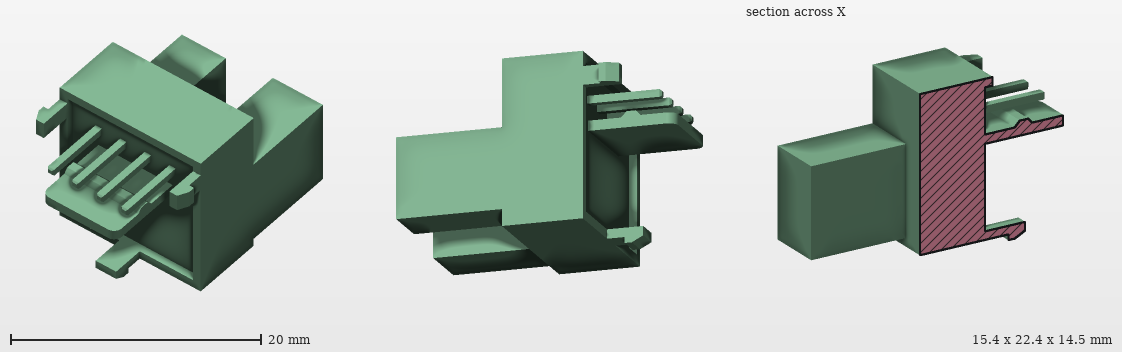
import cadquery as cq

body_width = 14.38
body_depth = 6.83
body_height = 13.98
wall = 0.78
recess_depth = 0.7

left_arm_width = 4.48
right_arm_width = 5.1
arm_length = 8.92
right_arm_bottom = 0.76
right_arm_height = 8.13
left_arm_inset = 0.65

clip_length = 3.05
hook_start = 1.48
hook_flat_end = 2.08
hook_overhang = 0.5
side_clip_bottom = 11.13
side_clip_height = 1.57
bottom_clip_width = 2.08
bottom_clip_offset = -0.07

pin_count = 4
pin_pitch = 2.5
pin_size = 0.65
pin_length = 5.58
pin_center_z = 10.82
pin_tip_chamfer = 0.13

tongue_width = 7.57
tongue_length = 6.65
tongue_bottom = 8.3
tongue_rear_top = 9.16
tongue_front_top = 9.23
tongue_corner_radius = 0.78
ridge_top = 9.65
ridge_rear_foot = 2.05
ridge_rear_crest = 2.55
ridge_front_crest = 3.34
ridge_front_foot = 3.72


def box(x_min, y_min, z_min, width, depth, height):
    """Box placed by its lowest corner."""
    return cq.Workplane("XY").box(width, depth, height, centered=False).translate((x_min, y_min, z_min))


def make_housing():
    """Block with a shallow rectangular recess in its front."""
    block = box(-body_width / 2, 0, 0, body_width, body_depth, body_height)
    recess = box(-body_width / 2 + wall, 0, wall, body_width - 2 * wall, recess_depth, body_height - 2 * wall)
    return block.cut(recess)


def make_arms():
    """Two straight arms reaching rearward across an open gap; the left one is narrower and shorter in Z."""
    left_bottom = right_arm_bottom + left_arm_inset
    left_height = right_arm_height - 2 * left_arm_inset
    left = box(-body_width / 2, body_depth, left_bottom, left_arm_width, arm_length, left_height)
    right_x = body_width / 2 - right_arm_width
    right = box(right_x, body_depth, right_arm_bottom, right_arm_width, arm_length, right_arm_height)
    return left.union(right)


def make_clip(width):
    """Clip in the XY plane with its outer face on X = 0, its hook toward -X and its width along Z."""
    profile = [
        (0, recess_depth),
        (0, -hook_start),
        (-hook_overhang, -hook_start),
        (-hook_overhang, -hook_flat_end),
        (0, -clip_length),
        (wall, -clip_length),
        (wall, recess_depth),
    ]
    return cq.Workplane("XY").polyline(profile).close().extrude(width)


def make_clips():
    """One clip on each side wall and one on the bottom wall."""
    left = make_clip(side_clip_height).translate((-body_width / 2, 0, side_clip_bottom))
    bottom = make_clip(bottom_clip_width).rotate((0, 0, 0), (0, 1, 0), -90)
    bottom = bottom.translate((bottom_clip_offset + bottom_clip_width / 2, 0, 0))
    return left.union(left.mirror("YZ")).union(bottom)


def make_pin(center_x):
    """Square pin rooted in the recess floor, chamfered at its tip."""
    pin = box(
        center_x - pin_size / 2, -pin_length, pin_center_z - pin_size / 2,
        pin_size, pin_length + recess_depth, pin_size,
    )
    return pin.faces("<Y").chamfer(pin_tip_chamfer)


def make_tongue():
    """Flat tongue rooted in the recess floor, with a ridge and rounded front corners."""
    side_profile = [
        (recess_depth, tongue_bottom),
        (recess_depth, tongue_rear_top),
        (-ridge_rear_foot, tongue_rear_top),
        (-ridge_rear_crest, ridge_top),
        (-ridge_front_crest, ridge_top),
        (-ridge_front_foot, tongue_front_top),
        (-tongue_length, tongue_front_top),
        (-tongue_length, tongue_bottom),
    ]
    tongue = cq.Workplane("YZ").polyline(side_profile).close().extrude(tongue_width / 2, both=True)
    return tongue.faces("<Y").edges("|Z").fillet(tongue_corner_radius)


result = make_housing().union(make_arms()).union(make_clips()).union(make_tongue())
for index in range(pin_count):
    pin_x = (index - (pin_count - 1) / 2) * pin_pitch
    result = result.union(make_pin(pin_x))